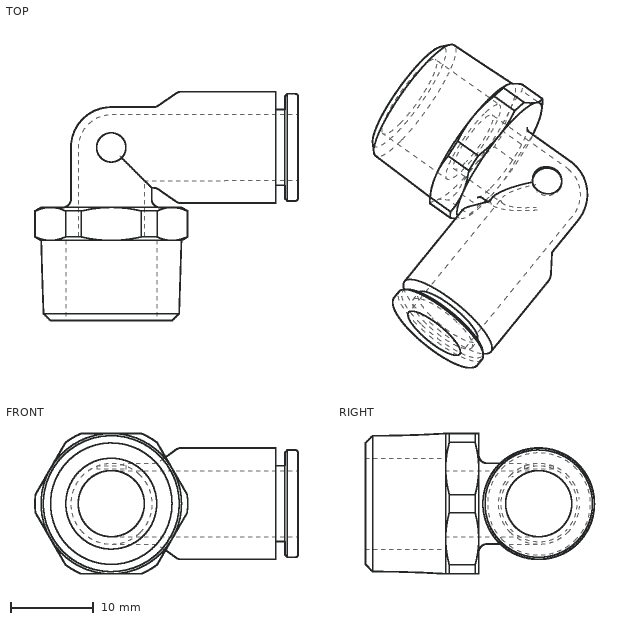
import cadquery as cq
import math


neck_radius = 4.9
bore_radius = 4.0
badge_radius = 1.77
badge_floor_height = 4.25

hex_across_flats = 17.0
hex_turned_radius = 9.25
hex_start = 7.25
hex_length = 4.0
hex_end = hex_start + hex_length
hex_chamfer_angle = 30.0
hex_face_radius = hex_across_flats / 2
hex_chamfer_length = (hex_turned_radius - hex_face_radius) * math.tan(math.radians(hex_chamfer_angle))
corner_turn = 360 / 12
flare_radius = 1.0

stem_end = 20.95
thread_base_radius = hex_face_radius
thread_slope = 1 / 32
thread_chamfer_length = 0.85
thread_chamfer_position = stem_end - thread_chamfer_length
stem_tip_radius = 7.35
counterbore_radius = 5.5
counterbore_depth = stem_end - hex_end

cone_start = 5.43
cone_end = 8.12
cone_blend_radius = 0.85
body_radius = 6.75
body_end = 19.9
collar_neck_radius = 4.6
collar_radius = 6.5
collar_start = 21.0
branch_end = 22.6
collar_chamfer = 0.3
collar_round = 0.35


def thread_radius(position):
    """Radius of the tapered thread at a distance along the stem."""
    return thread_base_radius - (position - hex_end) * thread_slope


def make_stem_neck():
    """Round neck from the elbow centre, flaring out to meet the hexagon."""
    flare_start = hex_start - flare_radius
    flare_outer_radius = neck_radius + flare_radius
    flare_offset = flare_radius * math.sqrt(0.5)
    return (
        cq.Workplane("XY")
        .moveTo(0, 0)
        .lineTo(neck_radius, 0)
        .lineTo(neck_radius, -flare_start)
        .threePointArc(
            (flare_outer_radius - flare_offset, -flare_start - flare_offset),
            (flare_outer_radius, -hex_start),
        )
        .lineTo(0, -hex_start)
        .close()
        .revolve(360, (0, 0, 0), (0, 1, 0))
    )


def make_hexagon():
    """Hexagon with turned corners and a conical chamfer on both faces."""
    prism = (
        cq.Workplane("XZ", origin=(0, -hex_start, 0))
        .polygon(6, hex_across_flats, circumscribed=True)
        .extrude(hex_length)
        .rotate((0, 0, 0), (0, 1, 0), corner_turn)
    )
    turned_blank = (
        cq.Workplane("XY")
        .moveTo(0, -hex_start)
        .lineTo(hex_face_radius, -hex_start)
        .lineTo(hex_turned_radius, -hex_start - hex_chamfer_length)
        .lineTo(hex_turned_radius, -hex_end + hex_chamfer_length)
        .lineTo(hex_face_radius, -hex_end)
        .lineTo(0, -hex_end)
        .close()
        .revolve(360, (0, 0, 0), (0, 1, 0))
    )
    return prism.intersect(turned_blank)


def make_thread():
    """Plain tapered thread envelope with a chamfered tip."""
    return (
        cq.Workplane("XY")
        .moveTo(0, -hex_end)
        .lineTo(thread_radius(hex_end), -hex_end)
        .lineTo(thread_radius(thread_chamfer_position), -thread_chamfer_position)
        .lineTo(stem_tip_radius, -stem_end)
        .lineTo(0, -stem_end)
        .close()
        .revolve(360, (0, 0, 0), (0, 1, 0))
    )


def make_branch():
    """Neck widening through a blended cone into the tube socket body."""
    branch = (
        cq.Workplane("XY")
        .moveTo(0, 0)
        .lineTo(0, neck_radius)
        .lineTo(cone_start, neck_radius)
        .lineTo(cone_end, body_radius)
        .lineTo(body_end, body_radius)
        .lineTo(body_end, 0)
        .close()
        .revolve(360, (0, 0, 0), (1, 0, 0))
    )
    cone_edges = branch.edges("%CIRCLE").edges("not >X")
    cone_edges = cone_edges.edges("not <X")
    return cone_edges.fillet(cone_blend_radius)


def make_collar():
    """Release collar: a narrow neck carrying a flange."""
    neck = (
        cq.Workplane("YZ", origin=(body_end, 0, 0))
        .circle(collar_neck_radius)
        .extrude(collar_start - body_end)
    )
    flange = (
        cq.Workplane("YZ", origin=(collar_start, 0, 0))
        .circle(collar_radius)
        .extrude(branch_end - collar_start)
        .faces("<X").edges().chamfer(collar_chamfer)
        .faces(">X").edges().fillet(collar_round)
    )
    return neck.union(flange)


def make_passage():
    """Flow passage through both ends, with a rounded turn and a stem counterbore."""
    stem_bore = cq.Workplane("XZ").circle(bore_radius).extrude(stem_end)
    branch_bore = cq.Workplane("YZ").circle(bore_radius).extrude(branch_end)
    counterbore = (
        cq.Workplane("XZ", origin=(0, -stem_end, 0))
        .circle(counterbore_radius)
        .extrude(-counterbore_depth)
    )
    turn = cq.Workplane("XY").sphere(bore_radius)
    return stem_bore.union(branch_bore).union(turn).union(counterbore)


def make_badge_recess():
    """Shallow round flat sunk into the top of the elbow."""
    return (
        cq.Workplane("XY", origin=(0, 0, badge_floor_height))
        .circle(badge_radius)
        .extrude(neck_radius)
    )


elbow = cq.Workplane("XY").sphere(neck_radius)
stem = make_stem_neck().union(make_hexagon()).union(make_thread())
outside = elbow.union(stem).union(make_branch()).union(make_collar())
result = outside.cut(make_passage()).cut(make_badge_recess())